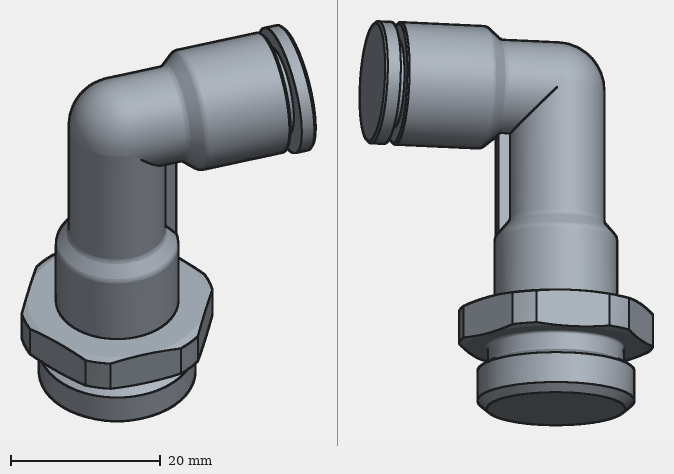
import cadquery as cq
import math

tube_radius = 6.5
body_radius = 8.2
total_height = 51.95
elbow_height = total_height - body_radius

shoulder_slope = 40.0
shoulder_blend = 1.0
shoulder_length = (body_radius - tube_radius) / math.tan(math.radians(shoulder_slope))

foot_radius = 10.5
foot_chamfer_height = 1.1
foot_chamfer_width = 1.25
groove_radius = 9.1
groove_blend = 0.35
groove_flare_bottom = 5.2
groove_flare_slope = 30.0

nut_bottom = 8.45
nut_height = 5.0
nut_top = nut_bottom + nut_height
nut_across_flats = 24.0
nut_corner_radius = 13.0
nut_bevel_width = nut_corner_radius - nut_across_flats / 2
nut_bevel_height = 0.3

vertical_shoulder_top = 25.45
horizontal_shoulder_start = 7.9
socket_end = 21.75
socket_edge_chamfer = 0.25

collar_end = 25.0
collar_thickness = 2.1
collar_start = collar_end - collar_thickness
collar_half_width = 9.25
collar_half_height = 8.1
collar_edge_chamfer = 0.3
collar_neck_radius = 5.9

web_thickness = 2.0
web_reach = 8.0


def cylinder(radius, bottom, top):
    return cq.Workplane("XY").workplane(offset=bottom).circle(radius).extrude(top - bottom)


def stepped_leg(shoulder_start, body_end):
    """Tube from the origin up +Z that widens over a blended shoulder into a body."""
    shoulder_end = shoulder_start + shoulder_length
    profile = [
        (0, 0),
        (tube_radius, 0),
        (tube_radius, shoulder_start),
        (body_radius, shoulder_end),
        (body_radius, body_end),
        (0, body_end),
    ]
    leg = cq.Workplane("XZ").polyline(profile).close().revolve(360, (0, 0), (0, 1))
    return leg.faces("%CONE").edges("%CIRCLE").fillet(shoulder_blend)


def vertical_leg():
    leg = stepped_leg(elbow_height - vertical_shoulder_top, elbow_height - nut_bottom)
    return leg.rotate((0, 0, 0), (1, 0, 0), 180).translate((0, 0, elbow_height))


def horizontal_leg():
    leg = stepped_leg(horizontal_shoulder_start, socket_end)
    leg = leg.faces(">Z").edges().chamfer(socket_edge_chamfer)
    neck = cylinder(collar_neck_radius, socket_end, collar_start)
    collar = (
        cq.Workplane("XY")
        .workplane(offset=collar_start)
        .ellipse(collar_half_width, collar_half_height)
        .extrude(collar_thickness)
        .faces(">Z")
        .edges()
        .chamfer(collar_edge_chamfer)
    )
    leg = leg.union(neck).union(collar)
    return leg.rotate((0, 0, 0), (1, 0, 0), -90).translate((0, 0, elbow_height))


def foot():
    """Turned foot below the nut, with a plug that runs up inside the nut."""
    flare_height = (foot_radius - groove_radius) * math.tan(math.radians(groove_flare_slope))
    profile = [
        (0, 0),
        (foot_radius - foot_chamfer_width, 0),
        (foot_radius, foot_chamfer_height),
        (foot_radius, groove_flare_bottom),
        (groove_radius, groove_flare_bottom + flare_height),
        (groove_radius, nut_bottom),
        (foot_radius, nut_bottom),
        (foot_radius, nut_top),
        (0, nut_top),
    ]
    turned = cq.Workplane("XZ").polyline(profile).close().revolve(360, (0, 0), (0, 1))
    groove_edges = turned.edges("%CIRCLE").edges(cq.selectors.RadiusNthSelector(0))
    return groove_edges.fillet(groove_blend)


def nut():
    corner_angle = 30
    corner_diameter = nut_across_flats / math.cos(math.radians(corner_angle))
    hexagon = (
        cq.Workplane("XY")
        .workplane(offset=nut_bottom)
        .polygon(6, corner_diameter)
        .extrude(nut_height)
        .rotate((0, 0, 0), (0, 0, 1), corner_angle)
    )
    blank = cylinder(nut_corner_radius, nut_bottom, nut_top)
    blank = blank.faces("|Z").edges().chamfer(nut_bevel_height, nut_bevel_width)
    return hexagon.intersect(blank)


def web():
    bottom = vertical_shoulder_top - shoulder_length
    return cq.Workplane("XY").workplane(offset=bottom).box(
        web_thickness, web_reach, elbow_height - bottom, centered=(True, False, False)
    )


def elbow_ball():
    return cq.Workplane("XY").workplane(offset=elbow_height).sphere(tube_radius)


result = (
    foot()
    .union(nut())
    .union(vertical_leg())
    .union(horizontal_leg())
    .union(elbow_ball())
    .union(web())
)